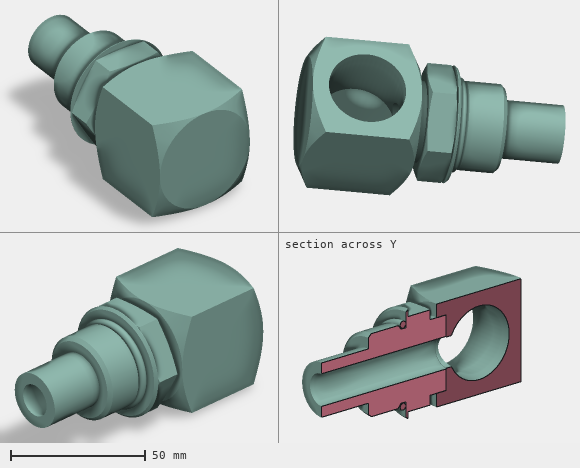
import cadquery as cq
import math


nose_dia = 21.9
collar_dia = 33.3
groove_dia = 29.8
flange_dia = 44.0
neck_dia = 30.4
bore_dia = 12.8

collar_start = 22.7
collar_end = 37.3
flange_start = 41.1
hex_start = 42.3
hex_end = 53.0

collar_chamfer = 1.5
groove_run = 1.5
flange_chamfer = 1.0

hex_sides = 6
hex_flat_radius = flange_dia / 2 * math.cos(math.pi / hex_sides)
hex_face_inset = 0.3
hex_face_radius = hex_flat_radius - hex_face_inset
hex_cone_slope = math.tan(math.radians(15))

ring_section = 2.9

block_start = 55.9
block_end = 97.2
block_width = 41.2
block_cone_slope = math.tan(math.radians(30))
block_length = block_end - block_start
block_centre = (block_start + block_end) / 2
socket_depth = 4.9
socket_end = block_start + socket_depth
passage_dia = 12.2

port_dia = 29.1
port_floor_y = -4.9
port_tip_angle = 118.0


def cylinder_x(start, end, diameter):
    """Solid cylinder on the X axis between two stations."""
    return cq.Workplane("YZ", origin=(start, 0, 0)).circle(diameter / 2).extrude(end - start)


def double_cone(start, end, face_radius, outer_radius, slope):
    """Revolved envelope that chamfers both ends of a prism between two stations."""
    run = (outer_radius - face_radius) * slope
    profile = [
        (start, 0),
        (start, face_radius),
        (start + run, outer_radius),
        (end - run, outer_radius),
        (end, face_radius),
        (end, 0),
    ]
    return cq.Workplane("XY").polyline(profile).close().revolve(360, (0, 0, 0), (1, 0, 0))


def make_hexagon():
    """Hexagon with corners on the Y axis and conical chamfers at both ends."""
    base = cq.Workplane("YZ", origin=(hex_start, 0, 0)).polygon(hex_sides, flange_dia)
    prism = base.extrude(hex_end - hex_start)
    return prism.intersect(double_cone(hex_start, hex_end, hex_face_radius, flange_dia / 2, hex_cone_slope))


def make_adapter():
    """Nose, collar, ring groove, flange, hexagon and neck, with a through bore."""
    nose_radius = nose_dia / 2
    collar_radius = collar_dia / 2
    groove_radius = groove_dia / 2
    flange_radius = flange_dia / 2
    profile = [
        (0, 0),
        (0, nose_radius),
        (collar_start, nose_radius),
        (collar_start, collar_radius - collar_chamfer),
        (collar_start + collar_chamfer, collar_radius),
        (collar_end, collar_radius),
        (collar_end + groove_run, groove_radius),
        (flange_start, groove_radius),
        (flange_start, flange_radius - flange_chamfer),
        (flange_start + flange_chamfer, flange_radius),
        (hex_start, flange_radius),
        (hex_start, 0),
    ]
    front = cq.Workplane("XY").polyline(profile).close().revolve(360, (0, 0, 0), (1, 0, 0))
    neck = cylinder_x(hex_end, socket_end, neck_dia)
    bore = cylinder_x(0, socket_end, bore_dia)
    return front.union(make_hexagon()).union(neck).cut(bore)


def make_o_ring():
    """Round-section ring that rests on the groove floor and touches the flange."""
    centre_x = flange_start - ring_section / 2
    centre_y = (groove_dia + ring_section) / 2
    section = cq.Workplane("XY").center(centre_x, centre_y).circle(ring_section / 2)
    return section.revolve(360, (-centre_x, -centre_y, 0), (1 - centre_x, -centre_y, 0))


def make_port():
    """Cutter for the outlet port: a drilled hole with a conical tip."""
    radius = port_dia / 2
    tip_depth = radius / math.tan(math.radians(port_tip_angle / 2))
    profile = [
        (0, port_floor_y - tip_depth),
        (radius, port_floor_y),
        (radius, block_width / 2),
        (0, block_width / 2),
    ]
    port = cq.Workplane("XY").polyline(profile).close().revolve(360, (0, 0, 0), (0, 1, 0))
    return port.translate((block_centre, 0, 0))


def make_housing():
    """Square block with cone-chamfered ends, a neck socket and a side port."""
    base = cq.Workplane("YZ", origin=(block_start, 0, 0)).rect(block_width, block_width)
    block = base.extrude(block_length)
    corner_radius = block_width / math.sqrt(2)
    envelope = double_cone(block_start, block_end, block_width / 2, corner_radius, block_cone_slope)
    socket = cylinder_x(block_start, socket_end, neck_dia)
    passage = cylinder_x(block_start, block_centre, passage_dia)
    return block.intersect(envelope).cut(socket).cut(passage).cut(make_port())


adapter = make_adapter()
o_ring = make_o_ring()
housing = make_housing()

result = cq.Compound.makeCompound([adapter.val(), o_ring.val(), housing.val()])